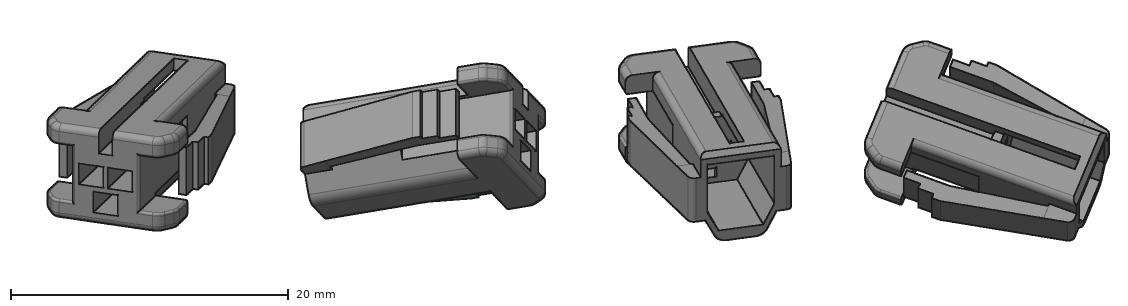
import cadquery as cq
import math

LENGTH = 16.05
HEIGHT = 7.3
HALF_HEIGHT = HEIGHT / 2
BODY_HALF_WIDTH = 3.0
EDGE_RADIUS = 0.5

SLOPE_TOP_Z = -1.15
SLOPE_ANGLE = 27.5
LOWER_RADIUS = 2 * EDGE_RADIUS
REAR_CHAMFER = 0.4

FLANGE_LENGTH = 3.27
FLANGE_HALF_WIDTH = 5.05
FLANGE_CORNER_X = 0.95
FLANGE_CORNER_Y = 1.32
FLANGE_CORNER_RADIUS = 2 * EDGE_RADIUS

RECESS_HALF_WIDTH = 2.6
RECESS_HALF_HEIGHT = 2.13
RECESS_LENGTH = 8.5
RECESS_EDGE_RADIUS = 0.2

ARM_ROOT_Y = 13.93
ARM_ROOT_HALF_HEIGHT = 1.8
ARM_TIP_HALF_HEIGHT = 1.85
ARM_TIP_Y = 3.43
ARM_OUTER_X = 5.65
ARM_SHOULDER_Y = 6.53
ARM_STEPS = ((5.89, 5.31), (4.7, 4.91))
ARM_INNER_X = 4.3
ARM_INNER_BEND_Y = 6.77
ARM_INNER_ROOT_X = 3.2
ARM_REAR_X = 3.79
ARM_REAR_RADIUS = 0.5
ARM_ROOT_RADIUS = 0.21
ARM_ANCHOR_X = 2.49

SLOT_WIDTH = 1.08
SLOT_FLOOR_Z = 1.88
SLOT_END_Y = 14.95
SLOT_END_LEAN = 0.11

SOCKET_FRONT_Y = 9.07
SOCKET_WALL = 0.5
SOCKET_TOP_Z = 2.76
SOCKET_BOTTOM_Z = -SOCKET_TOP_Z
PARTITION_THICKNESS = 0.7
PARTITION_TOP_Z = 2.6

CAVITY_PITCH = 2.21
UPPER_CAVITY_Z = 0.08
LOWER_CAVITY_Z = -1.95
CAVITY_CENTERS = (
    (-CAVITY_PITCH / 2, UPPER_CAVITY_Z),
    (CAVITY_PITCH / 2, UPPER_CAVITY_Z),
    (0, LOWER_CAVITY_Z),
)
CAVITY_WIDTH = 1.9
CAVITY_HEIGHT = 1.62
FUNNEL_WIDTH = 1.09
PIN_HOLE_WIDTH = 0.79
PIN_HOLE_HEIGHT = 0.7
FUNNEL_LENGTH = 0.51


def box(x_range, y_range, z_range):
    """Box spanning the given ranges."""
    (x0, x1), (y0, y1), (z0, z1) = x_range, y_range, z_range
    return cq.Workplane("XY").box(x1 - x0, y1 - y0, z1 - z0, centered=False).translate((x0, y0, z0))


def body_section(half_width, top_z, bottom_z, y_start):
    """Prism from y_start to the mating end: a rectangle with leaning lower sides."""
    bottom_half_width = half_width - (SLOPE_TOP_Z - bottom_z) * math.tan(math.radians(SLOPE_ANGLE))
    outline = [
        (-half_width, top_z),
        (half_width, top_z),
        (half_width, SLOPE_TOP_Z),
        (bottom_half_width, bottom_z),
        (-bottom_half_width, bottom_z),
        (-half_width, SLOPE_TOP_Z),
    ]
    plane = cq.Workplane("XZ", origin=(0, y_start, 0))
    return plane.polyline(outline).close().extrude(y_start - LENGTH)


def make_body():
    """Body behind the flange, with rounded corners and a chamfered top rear edge."""
    body = body_section(BODY_HALF_WIDTH, HALF_HEIGHT, -HALF_HEIGHT, 0)
    body = body.edges("|Y and >Z").fillet(EDGE_RADIUS)
    body = body.edges("|Y and <Z").fillet(LOWER_RADIUS)
    rear_edge = (
        cq.Workplane("YZ")
        .moveTo(LENGTH, HALF_HEIGHT)
        .lineTo(LENGTH - REAR_CHAMFER, HALF_HEIGHT)
        .lineTo(LENGTH, HALF_HEIGHT - REAR_CHAMFER)
        .close()
        .extrude(BODY_HALF_WIDTH, both=True)
    )
    wire_end = box(
        (-BODY_HALF_WIDTH, BODY_HALF_WIDTH), (0, FLANGE_LENGTH), (-HALF_HEIGHT, HALF_HEIGHT)
    )
    return body.cut(rear_edge).cut(wire_end)


def make_recess(side):
    """Flex recess, open at the wire end, on the side given by the sign of X."""
    x_range = sorted((side * RECESS_HALF_WIDTH, side * FLANGE_HALF_WIDTH))
    return box(x_range, (0, RECESS_LENGTH), (-RECESS_HALF_HEIGHT, RECESS_HALF_HEIGHT))


def is_recess_rim(edge):
    """True for the outer rim of the flange recess, leaving its rear and inner edges out."""
    bounds = edge.BoundingBox()
    center = bounds.center
    tolerance = 0.002
    at_rear = bounds.ymin > FLANGE_LENGTH - tolerance
    at_web = bounds.xlen < tolerance and abs(abs(center.x) - RECESS_HALF_WIDTH) < tolerance
    flat = bounds.zlen < tolerance and abs(abs(center.z) - RECESS_HALF_HEIGHT) < tolerance
    if at_rear:
        return False
    if at_web:
        return bounds.ymax < tolerance
    return flat


def make_flange():
    """Wire end block with cut corners, split by the recesses into two rounded plates."""
    corner_x = FLANGE_HALF_WIDTH - FLANGE_CORNER_X
    outline = [
        (-corner_x, 0),
        (corner_x, 0),
        (FLANGE_HALF_WIDTH, FLANGE_CORNER_Y),
        (FLANGE_HALF_WIDTH, FLANGE_LENGTH),
        (-FLANGE_HALF_WIDTH, FLANGE_LENGTH),
        (-FLANGE_HALF_WIDTH, FLANGE_CORNER_Y),
    ]
    flange = cq.Workplane("XY").polyline(outline).close().extrude(HALF_HEIGHT, both=True)
    flange = flange.edges("|Z").edges("not >Y").fillet(FLANGE_CORNER_RADIUS)
    flange = flange.faces(">Z or <Z").edges("not >Y").fillet(EDGE_RADIUS)
    for side in (-1, 1):
        flange = flange.cut(make_recess(side))
    return flange.edges().filter(is_recess_rim).fillet(RECESS_EDGE_RADIUS)


def make_arm():
    """Latch arm on the +X side."""
    (first_step_y, first_step_x), (second_step_y, second_step_x) = ARM_STEPS
    outline = [
        (ARM_ANCHOR_X, LENGTH),
        (ARM_REAR_X, LENGTH),
        (ARM_OUTER_X, ARM_SHOULDER_Y),
        (ARM_OUTER_X, first_step_y),
        (first_step_x, first_step_y),
        (first_step_x, second_step_y),
        (second_step_x, second_step_y),
        (second_step_x, ARM_TIP_Y),
        (ARM_INNER_X, ARM_TIP_Y),
        (ARM_INNER_X, ARM_INNER_BEND_Y),
        (ARM_INNER_ROOT_X, ARM_ROOT_Y),
        (ARM_ANCHOR_X, ARM_ROOT_Y),
    ]
    plan = cq.Workplane("XY").polyline(outline).close().extrude(HALF_HEIGHT, both=True)
    rear_edge = cq.selectors.NearestToPointSelector((ARM_REAR_X, LENGTH, 0))
    root_edge = cq.selectors.NearestToPointSelector((ARM_INNER_ROOT_X, ARM_ROOT_Y, 0))
    plan = plan.edges(rear_edge).fillet(ARM_REAR_RADIUS)
    plan = plan.edges(root_edge).fillet(ARM_ROOT_RADIUS)
    side_outline = [
        (ARM_TIP_Y, ARM_TIP_HALF_HEIGHT),
        (ARM_ROOT_Y, ARM_ROOT_HALF_HEIGHT),
        (LENGTH, ARM_ROOT_HALF_HEIGHT),
        (LENGTH, -ARM_ROOT_HALF_HEIGHT),
        (ARM_ROOT_Y, -ARM_ROOT_HALF_HEIGHT),
        (ARM_TIP_Y, -ARM_TIP_HALF_HEIGHT),
    ]
    side_profile = cq.Workplane("YZ").polyline(side_outline).close().extrude(ARM_OUTER_X)
    return plan.intersect(side_profile)


def make_socket():
    """Mating cavity with the same leaning lower sides as the body."""
    half_width = BODY_HALF_WIDTH - SOCKET_WALL
    return body_section(half_width, SOCKET_TOP_Z, SOCKET_BOTTOM_Z, SOCKET_FRONT_Y)


def make_slot():
    """Keyway stepping up over the partition and ending in a leaning wall."""
    partition_y = SOCKET_FRONT_Y - PARTITION_THICKNESS
    return (
        cq.Workplane("YZ")
        .moveTo(0, HALF_HEIGHT)
        .lineTo(0, SLOT_FLOOR_Z)
        .lineTo(partition_y, SLOT_FLOOR_Z)
        .lineTo(partition_y, PARTITION_TOP_Z)
        .lineTo(SLOT_END_Y - SLOT_END_LEAN, PARTITION_TOP_Z)
        .lineTo(SLOT_END_Y - SLOT_END_LEAN, SOCKET_TOP_Z)
        .lineTo(SLOT_END_Y, HALF_HEIGHT)
        .close()
        .extrude(SLOT_WIDTH / 2, both=True)
    )


def make_cavity(center_x, center_z):
    """Terminal cavity whose right part funnels down to a pin hole opening into the socket."""
    left_x = center_x - CAVITY_WIDTH / 2
    right_x = center_x + CAVITY_WIDTH / 2
    bottom_z = center_z - CAVITY_HEIGHT / 2
    top_z = center_z + CAVITY_HEIGHT / 2
    funnel_y = SOCKET_FRONT_Y - FUNNEL_LENGTH
    cavity = box((left_x, right_x), (0, funnel_y), (bottom_z, top_z))
    funnel = (
        cq.Workplane("XZ", origin=(0, funnel_y, 0))
        .center(right_x - FUNNEL_WIDTH / 2, center_z)
        .rect(FUNNEL_WIDTH, CAVITY_HEIGHT)
        .workplane(offset=-FUNNEL_LENGTH)
        .center((PIN_HOLE_WIDTH - FUNNEL_WIDTH) / 2, 0)
        .rect(PIN_HOLE_WIDTH, PIN_HOLE_HEIGHT)
        .loft(ruled=True)
    )
    return cavity.union(funnel)


result = make_body().union(make_flange())
result = result.cut(make_recess(-1)).cut(make_recess(1))

arm = make_arm()
result = result.union(arm).union(arm.mirror("YZ"))

result = result.cut(make_socket()).cut(make_slot())
for cavity_x, cavity_z in CAVITY_CENTERS:
    result = result.cut(make_cavity(cavity_x, cavity_z))